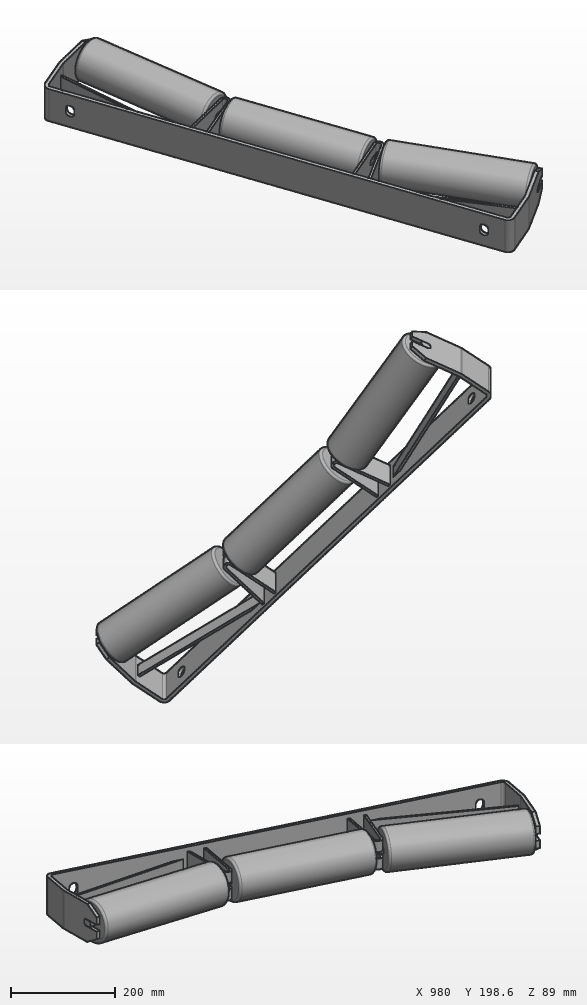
import cadquery as cq
import math


frame_length = 980.0
strip_width = 80.0
strip_thickness = 8.0
corner_radius = 14.0
bend_height = 80.0
end_plate_length = 107.0
end_chamfer_length = 30.0
end_chamfer_depth = 17.0
trough_angle = 10.0

mount_slot_spacing = 864.0
mount_slot_width = 18.0
mount_slot_height = 26.0

roller_diameter = 89.0
roller_length = 293.5
roller_edge_radius = 5.0
shaft_depth = 21.0
shaft_flat_width = 14.0
centre_axis_height = 100.5
side_seat_distance = 77.26

support_gap = 300.0
bracket_thickness = 5.0
bracket_width = 60.0
bracket_fold_height = 116.0
bracket_shaft_reach = support_gap / 2 + bracket_thickness
wall_shaft_reach = support_gap / 2 + strip_thickness

brace_thickness = 5.0
brace_width = 32.0
brace_top = 74.0
brace_foot = 199.0

lean = math.radians(trough_angle)
along = cq.Vector(math.cos(lean), -math.sin(lean))
upward = cq.Vector(math.sin(lean), math.cos(lean))

wall_inside = -frame_length / 2 + strip_thickness
bend_inner = cq.Vector(wall_inside, bend_height)
side_centre = bend_inner + along * (support_gap / 2) + upward * side_seat_distance
middle_centre = cq.Vector(0, centre_axis_height)


def xy(vector):
    return (vector.x, vector.y)


def place_left(body):
    """Move a body built about the origin, along X, to the left side roller position."""
    return body.rotate((0, 0, 0), (0, 0, 1), -trough_angle).translate(side_centre)


def mirrored(body):
    return body.mirror("YZ")


def make_roller(left_reach):
    """Roller along X about the origin, with its shaft reaching left_reach to the left of the middle."""
    barrel_start = cq.Workplane("YZ", origin=(-roller_length / 2, 0, 0))
    barrel = barrel_start.circle(roller_diameter / 2).extrude(roller_length)
    barrel = barrel.edges("%CIRCLE").fillet(roller_edge_radius)
    shaft_start = cq.Workplane("YZ", origin=(-left_reach, 0, 0))
    shaft = shaft_start.slot2D(shaft_depth, shaft_flat_width).extrude(left_reach + bracket_shaft_reach)
    return barrel.union(shaft)


def shaft_slots():
    """Open-topped slots for the two shaft ends of a roller lying along X at the origin."""
    depth = strip_thickness + bracket_thickness
    height = roller_diameter
    slots = cq.Workplane("XY")
    for side in (-1, 1):
        middle = side * (support_gap + depth) / 2
        opening = cq.Workplane("XY").box(depth, height, shaft_flat_width)
        opening = opening.translate((middle, height / 2, 0))
        seat = cq.Workplane("YZ").slot2D(shaft_depth, shaft_flat_width).extrude(depth / 2, both=True)
        slots = slots.add(opening.union(seat.translate((middle, 0, 0))))
    return slots.combine()


middle_slots = shaft_slots().translate(middle_centre)
left_slots = place_left(shaft_slots())


def end_wall_chamfers():
    """Wedges that trim the two top corners of the left end plate."""
    top = end_plate_length
    half = strip_width / 2
    plane = cq.Plane(origin=bend_inner.toTuple(), xDir=upward.toTuple(), normal=along.toTuple())
    wedges = cq.Workplane(plane)
    for side in (-1, 1):
        wedge = (
            cq.Workplane(plane)
            .moveTo(top - end_chamfer_length, side * half)
            .lineTo(top, side * (half - end_chamfer_depth))
            .lineTo(top, side * half)
            .close()
            .extrude(strip_thickness, both=True)
        )
        wedges = wedges.add(wedge)
    return wedges.combine()


def round_edge(body, point, radius):
    """Fillet the edge across the strip that passes nearest to a point of the profile."""
    return body.edges(cq.selectors.NearestToPointSelector(point)).fillet(radius)


def make_frame():
    half_length = frame_length / 2
    inner_radius = corner_radius - strip_thickness
    bend_outer = cq.Vector(-half_length, bend_height + strip_thickness * math.tan(lean / 2))
    tip_inner = bend_inner + upward * end_plate_length
    tip_outer = tip_inner - along * strip_thickness
    half = (
        cq.Workplane("XY")
        .moveTo(0, 0)
        .lineTo(-half_length, 0)
        .lineTo(*xy(bend_outer))
        .lineTo(*xy(tip_outer))
        .lineTo(*xy(tip_inner))
        .lineTo(*xy(bend_inner))
        .lineTo(wall_inside, strip_thickness)
        .lineTo(0, strip_thickness)
        .close()
        .extrude(strip_width / 2, both=True)
    )
    half = round_edge(half, (-half_length, 0, 0), corner_radius)
    half = round_edge(half, bend_outer.toTuple(), corner_radius)
    half = round_edge(half, bend_inner.toTuple(), inner_radius)
    half = round_edge(half, (wall_inside, strip_thickness, 0), inner_radius)
    half = half.cut(end_wall_chamfers()).cut(left_slots)
    mount_slot = (
        cq.Workplane("XZ")
        .center(-mount_slot_spacing / 2, 0)
        .slot2D(mount_slot_height, mount_slot_width, 90)
        .extrude(-strip_thickness)
    )
    half = half.cut(mount_slot)
    return half.union(mirrored(half))


def make_left_bracket():
    """Strip folded over between the left and the middle roller, one leg square to each roller."""
    seat = side_centre + along * (support_gap / 2)
    upright_face = -support_gap / 2
    upright_back = upright_face - bracket_thickness
    rise = bracket_fold_height - seat.y
    spread = (upright_face - seat.x) * math.cos(lean) - rise * math.sin(lean)
    outer_radius = spread / (1 + math.cos(lean))
    inner_radius = outer_radius - bracket_thickness
    fold_centre = cq.Vector(upright_face - outer_radius, bracket_fold_height)
    crown = cq.Vector(math.sin(lean / 2), math.cos(lean / 2))

    def leg_foot(radius):
        start = fold_centre - along * radius
        return start - upward * ((start.y - strip_thickness) / upward.y)

    return (
        cq.Workplane("XY")
        .moveTo(upright_face, strip_thickness)
        .lineTo(upright_face, bracket_fold_height)
        .threePointArc(xy(fold_centre + crown * outer_radius), xy(fold_centre - along * outer_radius))
        .lineTo(*xy(leg_foot(outer_radius)))
        .lineTo(*xy(leg_foot(inner_radius)))
        .lineTo(*xy(fold_centre - along * inner_radius))
        .threePointArc(xy(fold_centre + crown * inner_radius), (upright_back, bracket_fold_height))
        .lineTo(upright_back, strip_thickness)
        .close()
        .extrude(bracket_width / 2, both=True)
        .cut(left_slots)
        .cut(middle_slots)
    )


def make_left_brace():
    rise = brace_top - strip_thickness
    run = -brace_foot - wall_inside
    slope = math.atan2(rise, run)
    return (
        cq.Workplane("XY")
        .moveTo(wall_inside, brace_top)
        .lineTo(-brace_foot, strip_thickness)
        .lineTo(-brace_foot - brace_thickness / math.sin(slope), strip_thickness)
        .lineTo(wall_inside, brace_top - brace_thickness / math.cos(slope))
        .close()
        .extrude(brace_width / 2, both=True)
    )


frame = make_frame()
centre_roller = make_roller(bracket_shaft_reach).translate(middle_centre)
left_roller = place_left(make_roller(wall_shaft_reach))
left_bracket = make_left_bracket()
left_brace = make_left_brace()

bodies = [frame.val(), centre_roller.val()]
for left_body in (left_roller, left_bracket, left_brace):
    bodies += [left_body.val(), mirrored(left_body).val()]
result = cq.Compound.makeCompound(bodies)